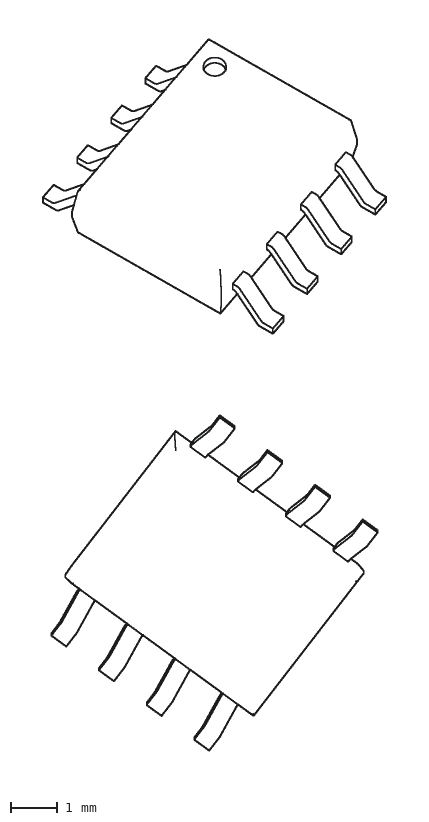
import cadquery as cq
import math

SPAN = 6.0
BODY_WIDTH = 3.9
BODY_LENGTH = 5.05
BODY_TOP = 1.75
BODY_BOTTOM = 0.17
FACE_INSET = 0.095
EDGE_RADIUS = 0.05

LEAD_THICKNESS = 0.2
LEAD_WIDTH = 0.4
LEAD_PITCH = 1.27
LEADS_PER_SIDE = 4
LEAD_TOP = 0.995
FOOT_LENGTH = 0.28
SHOULDER_LENGTH = 0.155
BEND_RADIUS = 0.1

MARK_DIAMETER = 0.485
MARK_DEPTH = 0.2
MARK_X = -1.32
MARK_Y = 1.895

BAND_TOP = LEAD_TOP
BAND_BOTTOM = LEAD_TOP - LEAD_THICKNESS


def drafted_block(start_height, height):
    """Body-sized block that narrows away from start_height; a negative height goes down."""
    draft_angle = math.degrees(math.atan2(FACE_INSET, abs(height)))
    return (
        cq.Workplane("XY", origin=(0, 0, start_height))
        .rect(BODY_WIDTH, BODY_LENGTH)
        .extrude(height, taper=draft_angle)
    )


def make_body():
    band = (
        cq.Workplane("XY", origin=(0, 0, BAND_BOTTOM))
        .rect(BODY_WIDTH, BODY_LENGTH)
        .extrude(LEAD_THICKNESS)
    )
    upper = drafted_block(BAND_TOP, BODY_TOP - BAND_TOP).faces(">Z").edges().fillet(EDGE_RADIUS)
    lower = drafted_block(BAND_BOTTOM, BODY_BOTTOM - BAND_BOTTOM).faces("<Z").edges().fillet(EDGE_RADIUS)
    pin_1_mark = (
        cq.Workplane("XY", origin=(MARK_X, MARK_Y, BODY_TOP - MARK_DEPTH))
        .circle(MARK_DIAMETER / 2)
        .extrude(MARK_DEPTH)
    )
    return band.union(upper).union(lower).cut(pin_1_mark)


def make_lead():
    """Gull-wing lead of the -X side, centred on Y = 0."""
    tip = -SPAN / 2
    root = -BODY_WIDTH / 2
    foot_bend = tip + FOOT_LENGTH
    shoulder_bend = root - SHOULDER_LENGTH

    slope_angle = math.atan2(LEAD_TOP - LEAD_THICKNESS, shoulder_bend - foot_bend)
    corner_shift = LEAD_THICKNESS * math.tan(slope_angle / 2)

    lead = (
        cq.Workplane("XZ")
        .moveTo(tip, 0)
        .lineTo(foot_bend + corner_shift, 0)
        .lineTo(shoulder_bend + corner_shift, BAND_BOTTOM)
        .lineTo(root, BAND_BOTTOM)
        .lineTo(root, LEAD_TOP)
        .lineTo(shoulder_bend, LEAD_TOP)
        .lineTo(foot_bend, LEAD_THICKNESS)
        .lineTo(tip, LEAD_THICKNESS)
        .close()
        .extrude(LEAD_WIDTH / 2, both=True)
    )
    bend_edges = lead.edges("|Y and (not <X) and (not >X)")
    return bend_edges.fillet(BEND_RADIUS)


def make_leads():
    """One row of leads on the -X side and one, turned half round, on the +X side."""
    lead = make_lead()
    leads = []
    for index in range(LEADS_PER_SIDE):
        y = (index - (LEADS_PER_SIDE - 1) / 2) * LEAD_PITCH
        for turn in (0, 180):
            placed = lead.rotate((0, 0, 0), (0, 0, 1), turn).translate((0, y, 0))
            leads.append(placed.val())
    return leads


body = make_body()
leads = make_leads()

result = cq.Compound.makeCompound([body.val(), *leads])